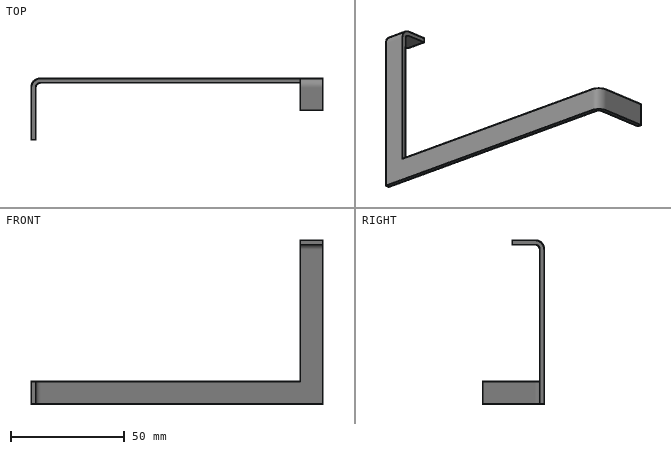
import cadquery as cq

length = 128.0
depth = 27.0
height = 72.0

strip_width = 10.0
thickness = 2.0
inner_radius = 2.0
outer_radius = inner_radius + thickness
top_tab_depth = 14.1


def bent_strip(plane, along, flange, width):
    """L-section strip: the web lies on the local x axis and the flange points to local -y at x = 0."""
    return (
        cq.Workplane(plane)
        .moveTo(along, 0)
        .lineTo(outer_radius, 0)
        .radiusArc((0, -outer_radius), -outer_radius)
        .lineTo(0, -flange)
        .lineTo(thickness, -flange)
        .lineTo(thickness, -outer_radius)
        .radiusArc((outer_radius, -thickness), inner_radius)
        .lineTo(along, -thickness)
        .close()
        .extrude(width)
    )


horizontal_arm = bent_strip("XY", length, depth, strip_width)

upright_plane = cq.Plane(
    origin=(length - strip_width, 0, height),
    xDir=(0, 0, -1),
    normal=(1, 0, 0),
)
upright_arm = bent_strip(upright_plane, height, top_tab_depth, strip_width)

result = horizontal_arm.union(upright_arm).clean()